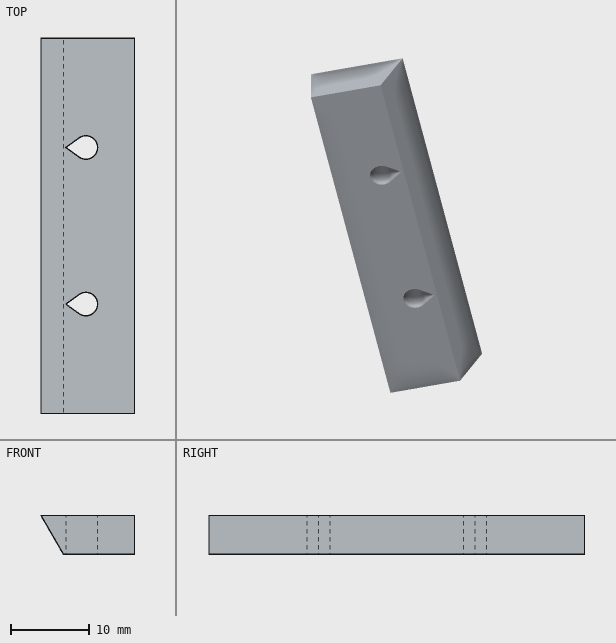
import cadquery as cq
import math

width = 12.0
length = 48.0
height = 5.0
bevel_angle = 60.0
bevel_run = height / math.tan(math.radians(bevel_angle))

hole_radius = 1.5
hole_x = -0.25
hole_spacing = 20.0
tip_distance = 2.55


def beveled_bar():
    """Bar whose -X side slopes inward toward the bottom."""
    profile = [
        (-width / 2, height),
        (width / 2, height),
        (width / 2, 0),
        (-width / 2 + bevel_run, 0),
    ]
    return cq.Workplane("XZ").polyline(profile).close().extrude(length / 2, both=True)


def teardrop_hole(y):
    """Through cutter: a round end with straight tangents meeting at a tip."""
    tangent_x = hole_x - hole_radius**2 / tip_distance
    tangent_y = hole_radius * math.sqrt(1 - (hole_radius / tip_distance) ** 2)
    return (
        cq.Workplane("XY")
        .moveTo(hole_x - tip_distance, y)
        .lineTo(tangent_x, y + tangent_y)
        .threePointArc((hole_x + hole_radius, y), (tangent_x, y - tangent_y))
        .close()
        .extrude(height)
    )


result = beveled_bar()
for hole_y in (-hole_spacing / 2, hole_spacing / 2):
    result = result.cut(teardrop_hole(hole_y))